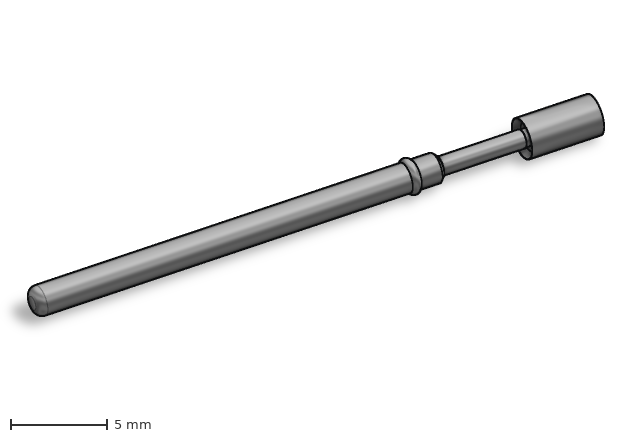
import cadquery as cq

total_length = 33.1

head_diameter = 2.3
head_length = 4.25
recess_mouth_diameter = 2.22
recess_floor_diameter = 1.65
recess_depth = 0.35

shaft_diameter = 1.05
shaft_length = 4.9
neck_diameter = 1.0

barrel_diameter = 1.7
mouth_chamfer = 0.23
tail_radius = 0.45

ring_diameter = 2.02
ring_width = 0.53
ring_center_from_mouth = 1.72

head_top = total_length / 2
tail_end = -total_length / 2
head_bottom = head_top - head_length
mouth = head_bottom - shaft_length
ring_center = mouth - ring_center_from_mouth
barrel_length = mouth - tail_end


def cylinder(diameter, y_start, length):
    """Solid cylinder on the Y axis, growing from y_start toward +Y."""
    base = cq.Workplane("XZ", origin=(0, y_start, 0))
    return base.circle(diameter / 2).extrude(-length)


def make_head():
    """Cylindrical head with the conical recess cut up into its underside."""
    head = cylinder(head_diameter, head_bottom, head_length)
    recess = (
        cq.Workplane("XZ", origin=(0, head_bottom, 0))
        .circle(recess_mouth_diameter / 2)
        .workplane(offset=-recess_depth)
        .circle(recess_floor_diameter / 2)
        .loft(ruled=True)
    )
    return head.cut(recess)


def make_barrel():
    """Barrel chamfered at the +Y mouth and rounded at the -Y tail."""
    barrel = cylinder(barrel_diameter, tail_end, barrel_length)
    barrel = barrel.faces(">Y").chamfer(mouth_chamfer)
    return barrel.faces("<Y").edges().fillet(tail_radius)


def make_press_ring():
    """Solid disc with a rounded rim, centered on the barrel axis."""
    barrel_radius = barrel_diameter / 2
    ring_back = ring_center - ring_width / 2
    ring_front = ring_center + ring_width / 2
    profile = (
        cq.Workplane("XY")
        .moveTo(0, ring_back)
        .lineTo(barrel_radius, ring_back)
        .threePointArc((ring_diameter / 2, ring_center), (barrel_radius, ring_front))
        .lineTo(0, ring_front)
        .close()
    )
    return profile.revolve(360, (0, 0, 0), (0, 1, 0))


def make_plunger():
    """Shaft and neck joined to the head."""
    shaft = cylinder(shaft_diameter, mouth, shaft_length)
    neck = cylinder(neck_diameter, head_bottom, recess_depth)
    return shaft.union(neck).union(make_head())


result = make_barrel().union(make_press_ring()).union(make_plunger())